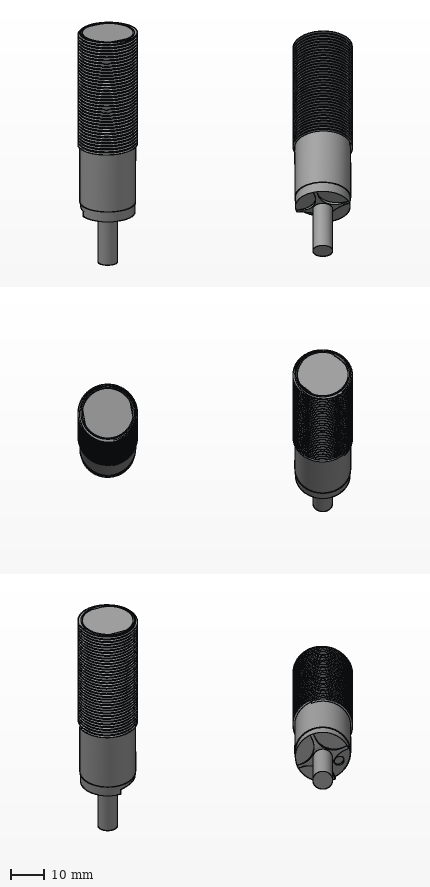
import cadquery as cq
import math

total_height = 74.0
body_bottom = 19.3
neck_bottom = 16.05
cap_bottom = 15.25

thread_diameter = 18.0
body_diameter = 16.9
neck_diameter = 16.5
cap_bottom_diameter = 7.7
cable_diameter = 6.0

thread_length = 36.6
thread_turns = 37
extra_turns = 0.5
thread_angle = 60.0
ridge_embed = 0.1
thread_pitch = thread_length / thread_turns

face_diameter = 15.3
face_flat_width = 14.5
groove_diameter = 16.1
groove_depth = 0.75

web_thickness = 1.0
pocket_corner_radius = 6.2
ceiling_angle = 15.0
ceiling_outer_height = 18.2
hole_diameter = 3.1
hole_depth = 0.75
hole_distance = 5.3


def cylinder(diameter, bottom, top):
    return cq.Workplane("XY").workplane(offset=bottom).circle(diameter / 2).extrude(top - bottom)


def thread_ridge():
    """Triangular ridge along a right-hand helix that starts on the +Y side."""
    root_radius = body_diameter / 2 - ridge_embed
    crest_radius = thread_diameter / 2
    half_base = (crest_radius - root_radius) * math.tan(math.radians(thread_angle / 2))
    helix_height = thread_length + extra_turns * thread_pitch
    helix = cq.Wire.makeHelix(thread_pitch, helix_height, root_radius)
    ridge = (
        cq.Workplane("XZ")
        .moveTo(root_radius, -half_base)
        .lineTo(crest_radius, 0)
        .lineTo(root_radius, half_base)
        .close()
        .sweep(cq.Workplane(obj=helix), isFrenet=True)
        .rotate((0, 0, 0), (0, 0, 1), 90)
        .translate((0, 0, total_height - thread_length))
    )
    return ridge.intersect(cylinder(2 * thread_diameter, body_bottom, total_height))


def face_groove():
    """Ring-shaped groove that leaves the flat-sided sensing face standing in the middle."""
    groove_floor = total_height - groove_depth
    bowl = (
        cq.Workplane("XY")
        .workplane(offset=groove_floor)
        .circle(face_diameter / 2)
        .workplane(offset=groove_depth)
        .circle(groove_diameter / 2)
        .loft()
    )
    flats = cq.Workplane("XY").box(face_flat_width, face_diameter, 2 * total_height)
    face = cylinder(face_diameter, groove_floor, total_height).intersect(flats)
    return bowl.cut(face)


def end_cap():
    """Neck below the body that tapers to a flat bottom."""
    profile = (
        cq.Workplane("XZ")
        .moveTo(0, body_bottom)
        .lineTo(neck_diameter / 2, body_bottom)
        .lineTo(neck_diameter / 2, neck_bottom)
        .lineTo(cap_bottom_diameter / 2, cap_bottom)
        .lineTo(0, cap_bottom)
        .close()
    )
    return profile.revolve(360, (0, 0, 0), (0, 1, 0))


def pocket(top):
    """Vertical pocket in the -X -Y quadrant with a large rounded corner near the axis."""
    reach = body_diameter
    center = (reach + web_thickness) / 2
    return (
        cq.Workplane("XY")
        .center(-center, -center)
        .rect(reach, reach)
        .extrude(top)
        .edges("|Z and >X and >Y")
        .fillet(pocket_corner_radius)
    )


def shallow_pockets():
    """Pockets in the other three quadrants, level with the bottom of the neck."""
    pockets = cq.Workplane("XY")
    for turn in (90, 180, 270):
        pockets = pockets.add(pocket(neck_bottom).rotate((0, 0, 0), (0, 0, 1), turn))
    return pockets.combine()


def deep_pocket():
    """Pocket whose ceiling rises outwards along the diagonal and holds a blind hole."""
    slope = math.radians(ceiling_angle)
    hole_height = ceiling_outer_height - (neck_diameter / 2 - hole_distance) * math.tan(slope)
    diagonal = hole_distance / math.sqrt(2)
    outward = math.sqrt(0.5)
    ceiling = cq.Workplane(
        cq.Plane(
            origin=(-diagonal, -diagonal, hole_height),
            xDir=(outward, -outward, 0),
            normal=(outward * math.sin(slope), outward * math.sin(slope), math.cos(slope)),
        )
    )
    below_ceiling = ceiling.rect(2 * thread_diameter, 2 * thread_diameter).extrude(-thread_diameter)
    hole = ceiling.circle(hole_diameter / 2).extrude(hole_depth)
    return pocket(body_bottom).intersect(below_ceiling).union(hole)


body = cylinder(body_diameter, body_bottom, total_height)
threaded_body = body.union(thread_ridge()).cut(face_groove())
cap = end_cap().cut(shallow_pockets()).cut(deep_pocket())
cable = cylinder(cable_diameter, 0, body_bottom)

result = threaded_body.union(cap).union(cable)